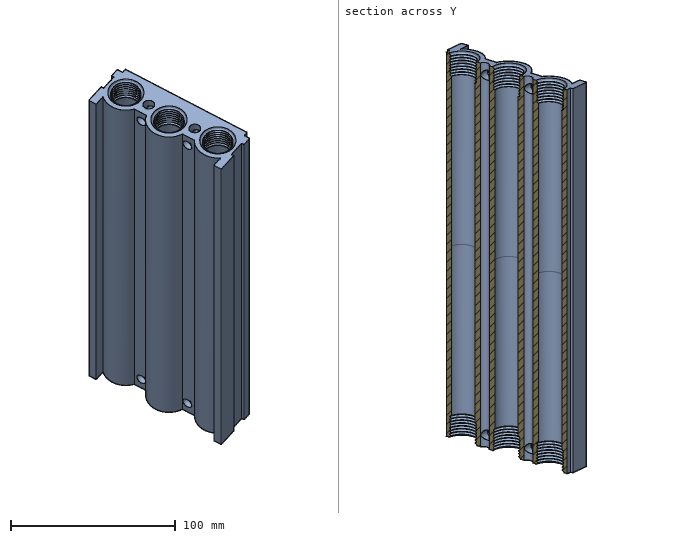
import cadquery as cq


width = 98.0
depth = 33.5
length = 253.0

back_width = 90.0
shoulder_depth = 3.0
groove_top = 9.25
groove_bottom = 20.0
groove_depth = 1.75
web_depth = 23.5
leg_width = 5.5
corner_radius = 0.5

lobe_radius = 14.25
side_bore_x = 34.0
side_bore_y = -15.5
centre_bore_y = -18.5
bore_centres = [(-side_bore_x, side_bore_y), (0.0, centre_bore_y), (side_bore_x, side_bore_y)]

bore_radius = 9.0
thread_minor_radius = 9.3
thread_major_radius = 10.5
thread_pitch = 1.9
thread_turns = 8
mouth_radius = 11.0
mouth_depth = mouth_radius - thread_major_radius

small_hole_x = 17.0
pilot_y = side_bore_y
pilot_diameter = 7.0
mount_diameter = 6.5
mount_end_distance = 8.0


def profile_block():
    """Body with stepped back corners, grooved sides and two front legs."""
    half = width / 2
    right_side = [
        (back_width / 2, 0),
        (back_width / 2, -shoulder_depth),
        (half, -shoulder_depth),
        (half, -groove_top),
        (half - groove_depth, -groove_top),
        (half - groove_depth, -groove_bottom),
        (half, -groove_bottom),
        (half, -depth),
        (half - leg_width, -depth),
        (half - leg_width, -web_depth),
    ]
    left_side = [(-x, y) for x, y in reversed(right_side)]
    outline = cq.Workplane("XY").polyline(right_side + left_side).close()
    block = outline.extrude(length).translate((0, 0, -length / 2))
    for x in (-half, half):
        for y in (-shoulder_depth, -groove_top, -depth):
            block = block.edges(cq.selectors.NearestToPointSelector((x, y, 0))).fillet(corner_radius)
    return block


def lobes():
    """Round bodies that carry the three bores, kept clear of the side grooves."""
    rounds = cq.Workplane("XY").pushPoints(bore_centres).circle(lobe_radius).extrude(length / 2, both=True)
    grooved_width = width - 2 * groove_depth
    return rounds.intersect(cq.Workplane("XY").box(grooved_width, 2 * depth, length))


def bore_cutter():
    """Through bore with a countersunk mouth and ring thread at both ends, around the Z axis."""
    top = length / 2
    upper_half = [(0, 0), (0, top), (mouth_radius, top)]
    for turn in range(thread_turns):
        root_z = top - mouth_depth - turn * thread_pitch
        upper_half.append((thread_major_radius, root_z))
        upper_half.append((thread_minor_radius, root_z - thread_pitch / 2))
    upper_half.append((bore_radius, root_z - thread_pitch / 2))
    upper_half.append((bore_radius, 0))
    upper = cq.Workplane("XZ").polyline(upper_half).close().revolve(360, (0, 0, 0), (0, 1, 0))
    return upper.union(upper.mirror("XY"))


def pilot_holes():
    """Lengthwise holes between the bores."""
    centres = [(-small_hole_x, pilot_y), (small_hole_x, pilot_y)]
    return cq.Workplane("XY").pushPoints(centres).circle(pilot_diameter / 2).extrude(length / 2, both=True)


def mounting_holes():
    """Holes through the web from front to back, two near each end."""
    spacing_z = length - 2 * mount_end_distance
    plane = cq.Workplane("XZ").rarray(2 * small_hole_x, spacing_z, 2, 2)
    return plane.circle(mount_diameter / 2).extrude(depth)


body = profile_block().union(lobes())
bore = bore_cutter()
for x, y in bore_centres:
    body = body.cut(bore.translate((x, y, 0)))
result = body.cut(pilot_holes()).cut(mounting_holes())